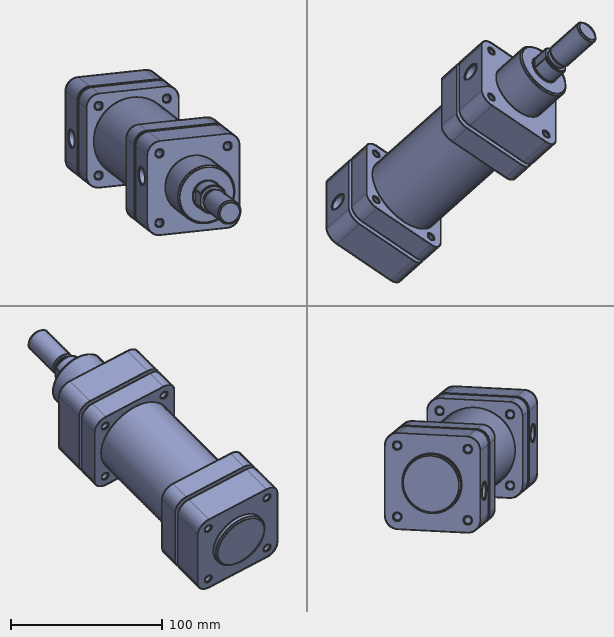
import cadquery as cq


square_side = 65.0
corner_radius = 9.0
bolt_pitch = 48.0
bolt_hole_diameter = 5.0
bolt_hole_chamfer = 0.5
cap_bolt_hole_depth = 15.0

spigot_length = 3.7
cap_length = 22.6
flange_gap = 2.8
flange_length = 15.0
flange_spacing = 75.5
nose_length = 25.1

tube_diameter = 55.0
nose_diameter = 40.0
nose_chamfer = 1.0

port_diameter = 11.4
port_chamfer = 0.5
port_depth = 15.0
port_offset = 6.0

rod_diameter = 20.0
wrench_diameter = 19.5
wrench_across_flats = 17.0
rod_round_length = 0.8
rod_exposed_length = 11.9
wrench_chamfer = 0.6
neck_diameter = 14.0
neck_length = 2.9
thread_diameter = 16.0
thread_chamfer = 1.0
total_length = 229.0

rear_cap_start = spigot_length
rear_cap_end = rear_cap_start + cap_length
rear_flange_start = rear_cap_end + flange_gap
rear_flange_end = rear_flange_start + flange_length
front_flange_start = rear_flange_end + flange_spacing
front_flange_end = front_flange_start + flange_length
front_cap_start = front_flange_end + flange_gap
front_cap_end = front_cap_start + cap_length
nose_end = front_cap_end + nose_length
flats_start = nose_end + rod_round_length
rod_shoulder = nose_end + rod_exposed_length
thread_start = rod_shoulder + neck_length


def cylinder(start, end, diameter):
    """Round bar along X from start to end."""
    return cq.Workplane("YZ", origin=(start, 0, 0)).circle(diameter / 2).extrude(end - start)


def square_block(start, end):
    """Square block along X with rounded corners."""
    block = cq.Workplane("YZ", origin=(start, 0, 0)).rect(square_side, square_side).extrude(end - start)
    return block.edges("|X").fillet(corner_radius)


def chamfered_hole_cutter(face_centre, direction, diameter, depth, chamfer):
    """Cutter for a hole going in from face_centre, with a chamfered mouth."""
    plane = cq.Plane(origin=face_centre, normal=direction)
    hole = cq.Workplane(plane).circle(diameter / 2).extrude(depth)
    mouth_radius = diameter / 2 + chamfer
    mouth = cq.Solid.makeCone(mouth_radius, diameter / 2, chamfer, cq.Vector(face_centre), cq.Vector(direction))
    return hole.union(cq.Workplane(mouth))


def cut_bolt_holes(body, face_x, direction_x, depth):
    """Cut the four corner holes, going in from the face at face_x."""
    for y_side in (-1, 1):
        for z_side in (-1, 1):
            centre = (face_x, y_side * bolt_pitch / 2, z_side * bolt_pitch / 2)
            body = body.cut(chamfered_hole_cutter(
                centre, (direction_x, 0, 0), bolt_hole_diameter, depth, bolt_hole_chamfer))
    return body


def cut_port(body, x, z):
    """Cut an air port into the -Y side."""
    centre = (x, -square_side / 2, z)
    return body.cut(chamfered_hole_cutter(centre, (0, 1, 0), port_diameter, port_depth, port_chamfer))


def make_rear_cap():
    spigot = cylinder(0, rear_cap_start, nose_diameter).faces("<X").chamfer(nose_chamfer)
    cap = square_block(rear_cap_start, rear_cap_end).union(spigot)
    cap = cut_bolt_holes(cap, rear_cap_start, 1, cap_bolt_hole_depth)
    return cut_port(cap, (rear_cap_start + rear_cap_end) / 2, -port_offset)


def make_front_cap():
    nose = cylinder(front_cap_end, nose_end, nose_diameter).faces(">X").chamfer(nose_chamfer)
    cap = square_block(front_cap_start, front_cap_end).union(nose)
    cap = cap.cut(cylinder(front_cap_start, nose_end, rod_diameter))
    cap = cut_bolt_holes(cap, front_cap_end, -1, cap_bolt_hole_depth)
    return cut_port(cap, (front_cap_start + front_cap_end) / 2, port_offset)


def make_flange(start, chamfered_face_x, direction_x):
    """Flange clamped around the tube, its bolt holes chamfered on the side facing the other flange."""
    end = start + flange_length
    flange = square_block(start, end).cut(cylinder(start, end, tube_diameter))
    return cut_bolt_holes(flange, chamfered_face_x, direction_x, flange_length)


def make_wrench_section():
    """Slightly reduced length of the rod with two opposite wrench flats and a chamfered shoulder."""
    section = cylinder(flats_start, rod_shoulder, wrench_diameter).faces(">X").chamfer(wrench_chamfer)
    flats_length = rod_shoulder - flats_start
    between_flats = cq.Workplane("XY", origin=(flats_start, 0, 0)).box(
        flats_length, wrench_across_flats, 2 * rod_diameter, centered=(False, True, True))
    return section.intersect(between_flats)


def make_rod():
    """Rod from the tube end out through the nose: wrench section, neck and thread length."""
    shaft = cylinder(front_cap_start, flats_start, rod_diameter)
    neck = cylinder(rod_shoulder, thread_start, neck_diameter)
    thread = cylinder(thread_start, total_length, thread_diameter).faces("<X or >X").chamfer(thread_chamfer)
    return shaft.union(make_wrench_section()).union(neck).union(thread)


rear_cap = make_rear_cap()
tube = cylinder(rear_cap_end, front_cap_start, tube_diameter)
rear_flange = make_flange(rear_flange_start, rear_flange_end, -1)
front_flange = make_flange(front_flange_start, front_flange_start, 1)
front_cap = make_front_cap()
rod = make_rod()

bodies = (rear_cap, rear_flange, tube, front_flange, front_cap, rod)
result = cq.Compound.makeCompound([body.val() for body in bodies])